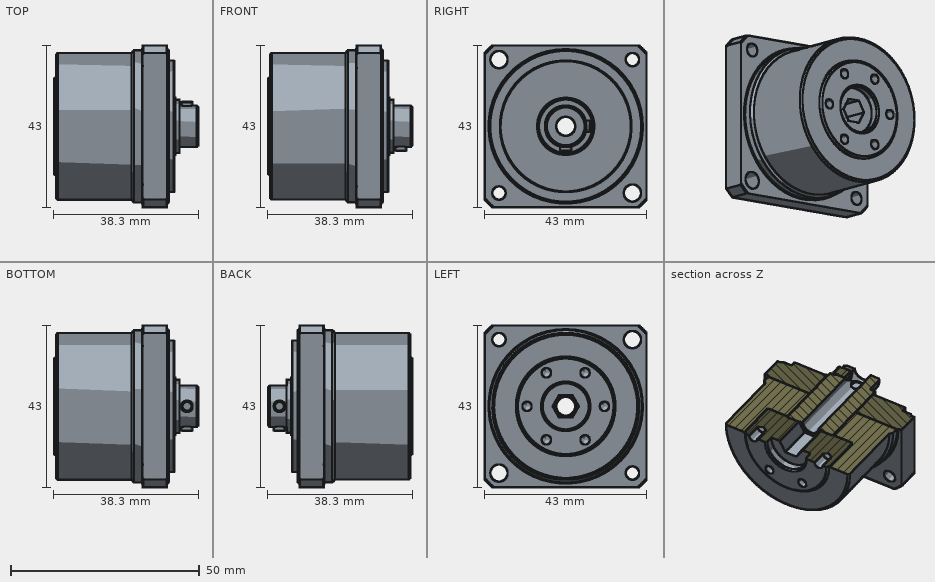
import cadquery as cq
import math


plate_side = 43.0
plate_thickness = 6.5
plate_front_x = 23.5
plate_back_x = plate_front_x + plate_thickness
corner_radius = 29.0
corner_chamfer = 0.2
mount_hole_offset = 17.7
small_mount_diameter = 3.5
large_mount_diameter = 4.5

boss_radius = 20.5
front_boss_height = 0.17
back_boss_height = 0.5
back_boss_chamfer = 0.47
pilot_radius = 17.5
pilot_end_x = 32.0
pilot_chamfer = 0.2
lip_radius = 7.6
lip_height = 0.2

housing_face_x = 0.5
housing_end_x = plate_front_x - front_boss_height
housing_radius = 19.52
housing_chamfer = 0.5
shoulder_radius = 20.25
shoulder_x = 20.55
shoulder_taper = shoulder_radius - housing_radius

disc_radius = 13.25
disc_taper_length = 0.95
disc_taper_inset = 0.55
disc_end_x = 12.05
recess_radius = 6.1
recess_depth = 2.5
recess_chamfer = 0.47
hex_across_flats = 6.0
bolt_count = 6
bolt_circle_radius = 10.28
bolt_hole_radius = 1.25
bolt_hole_depth = 4.3
drill_tip_angle = 118.0

journal_radius = 7.1
journal_end_x = 33.35
shaft_radius = 5.55
shaft_end_x = 38.3
shaft_chamfer = 0.5
bore_radius = 2.5
bore_chamfer = 0.4

screw_radius = 1.5
screw_x = 35.3
screw_inner_reach = 2.8
screw_outer_reach = 6.55
screw_chamfer_depth = 0.17
screw_chamfer_inset = 0.3


def turned(profile):
    """Solid of revolution about X from (x, radius) points."""
    return cq.Workplane("XZ").polyline(profile).close().revolve(360, (0, 0, 0), (1, 0, 0))


def cylinder(radius, start_x, end_x):
    """Solid cylinder along X, centred on the axis."""
    return cq.Workplane("YZ").workplane(offset=start_x).circle(radius).extrude(end_x - start_x)


def make_housing():
    """Cup with a shoulder, bored for the output disc and the shaft journal."""
    body = turned([
        (housing_face_x, 0),
        (housing_face_x, housing_radius - housing_chamfer),
        (housing_face_x + housing_chamfer, housing_radius),
        (shoulder_x, housing_radius),
        (shoulder_x + shoulder_taper, shoulder_radius),
        (housing_end_x, shoulder_radius),
        (housing_end_x, 0),
    ])
    disc_seat = cylinder(disc_radius, housing_face_x, disc_end_x)
    journal_bore = cylinder(journal_radius, disc_end_x, housing_end_x)
    return body.cut(disc_seat).cut(journal_bore)


def make_plate():
    """Square plate with turned corners, round steps, a journal bore and four mounting holes."""
    square = cq.Workplane("YZ").workplane(offset=plate_front_x).rect(plate_side, plate_side)
    corner_envelope = cylinder(corner_radius, plate_front_x, plate_back_x).edges().chamfer(corner_chamfer)
    plate = square.extrude(plate_thickness).intersect(corner_envelope)

    boss_end_x = plate_back_x + back_boss_height
    steps = turned([
        (housing_end_x, 0),
        (housing_end_x, boss_radius),
        (boss_end_x - back_boss_chamfer, boss_radius),
        (boss_end_x, boss_radius - back_boss_chamfer),
        (boss_end_x, pilot_radius),
        (pilot_end_x - pilot_chamfer, pilot_radius),
        (pilot_end_x, pilot_radius - pilot_chamfer),
        (pilot_end_x, lip_radius),
        (pilot_end_x + lip_height, lip_radius),
        (pilot_end_x + lip_height, 0),
    ])
    plate = plate.union(steps).cut(cylinder(journal_radius, housing_end_x, pilot_end_x + lip_height))

    for y_side in (-1, 1):
        for z_side in (-1, 1):
            diameter = small_mount_diameter if y_side == z_side else large_mount_diameter
            hole = cylinder(diameter / 2, plate_front_x, plate_back_x)
            plate = plate.cut(hole.translate((0, y_side * mount_hole_offset, z_side * mount_hole_offset)))
    return plate


def make_bolt_hole():
    """Blind drilled hole along X from the disc face, with a conical bottom."""
    tip_length = bolt_hole_radius / math.tan(math.radians(drill_tip_angle / 2))
    return turned([
        (0, 0),
        (0, bolt_hole_radius),
        (bolt_hole_depth, bolt_hole_radius),
        (bolt_hole_depth + tip_length, 0),
    ])


def make_output_disc():
    """Disc with a bevelled rim, a bolt circle, a chamfered recess and a hexagonal through hole."""
    disc = turned([
        (0, 0),
        (0, disc_radius - disc_taper_inset),
        (disc_taper_length, disc_radius),
        (disc_end_x, disc_radius),
        (disc_end_x, 0),
    ])
    recess = turned([
        (0, 0),
        (0, recess_radius + recess_chamfer),
        (recess_chamfer, recess_radius),
        (recess_depth, recess_radius),
        (recess_depth, 0),
    ])
    hex_across_corners = hex_across_flats / math.cos(math.pi / 6)
    hex_hole = cq.Workplane("YZ").polygon(6, hex_across_corners).extrude(disc_end_x)
    disc = disc.cut(recess).cut(hex_hole)

    for index in range(bolt_count):
        hole = make_bolt_hole().translate((0, bolt_circle_radius, 0))
        disc = disc.cut(hole.rotate((0, 0, 0), (1, 0, 0), index * 360 / bolt_count))
    return disc


def placed_screws(shape):
    """Copies of a +Y shape at the two screw directions, +Y and -Z."""
    return [shape.rotate((0, 0, 0), (1, 0, 0), angle) for angle in (0, -90)]


def make_shaft():
    """Hollow stepped shaft with two radial holes for the set screws."""
    shaft = turned([
        (disc_end_x, bore_radius + bore_chamfer),
        (disc_end_x, journal_radius),
        (journal_end_x, journal_radius),
        (journal_end_x, shaft_radius),
        (shaft_end_x - shaft_chamfer, shaft_radius),
        (shaft_end_x, shaft_radius - shaft_chamfer),
        (shaft_end_x, bore_radius),
        (disc_end_x + bore_chamfer, bore_radius),
    ])
    radial_hole = cq.Workplane("XZ", origin=(screw_x, 0, 0)).circle(screw_radius).extrude(-screw_outer_reach)
    for screw_hole in placed_screws(radial_hole):
        shaft = shaft.cut(screw_hole)
    return shaft


def make_set_screws():
    """Two set screws standing out of the shaft, chamfered at the outer end."""
    tip_radius = screw_radius - screw_chamfer_inset
    profile = [
        (0, screw_inner_reach),
        (screw_radius, screw_inner_reach),
        (screw_radius, screw_outer_reach - screw_chamfer_depth),
        (tip_radius, screw_outer_reach),
        (0, screw_outer_reach),
    ]
    screw = cq.Workplane("XY").polyline(profile).close().revolve(360, (0, 0, 0), (0, 1, 0))
    return placed_screws(screw.translate((screw_x, 0, 0)))


housing = make_housing()
plate = make_plate()
output_disc = make_output_disc()
shaft = make_shaft()
set_screws = make_set_screws()

result = cq.Compound.makeCompound([
    housing.val(),
    plate.val(),
    output_disc.val(),
    shaft.val(),
    *[screw.val() for screw in set_screws],
])